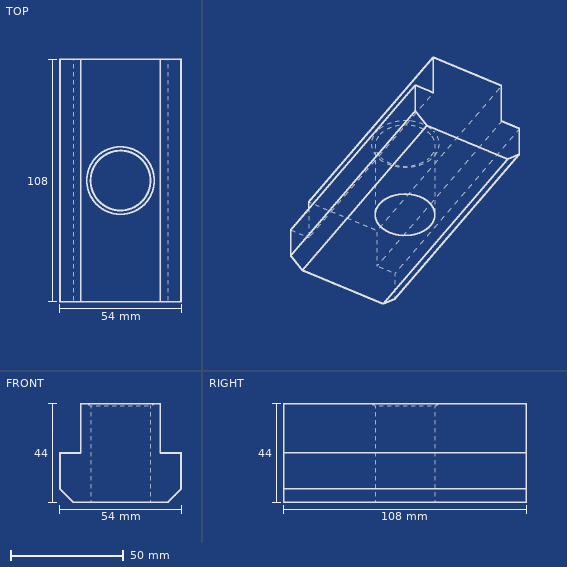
import cadquery as cq

length = 108.0
base_width = 54.0
height = 44.0

neck_width = 35.4
base_height = 22.0
bevel = 6.0

hole_diameter = 26.6
countersink_diameter = 30.0
countersink_depth = 1.0
countersink_width = (countersink_diameter - hole_diameter) / 2


def make_body():
    """T-shaped block, centred on X and Y, with its underside at Z = 0."""
    base = (
        cq.Workplane("XY")
        .box(base_width, length, base_height, centered=(True, True, False))
        .edges("|Y and <Z")
        .chamfer(bevel)
    )
    neck = (
        cq.Workplane("XY")
        .workplane(offset=base_height)
        .box(neck_width, length, height - base_height, centered=(True, True, False))
    )
    return base.union(neck)


def cut_hole(body):
    """Through hole in the middle of the block, with its top rim bevelled."""
    drilled = body.faces(">Z").workplane(origin=(0, 0, height)).hole(hole_diameter)
    return drilled.faces(">Z").edges("%CIRCLE").chamfer(countersink_width, countersink_depth)


result = cut_hole(make_body())